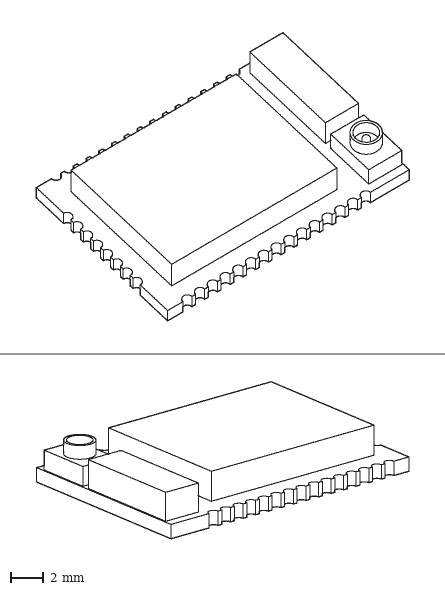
import cadquery as cq

BOARD_WIDTH = 13.06
BOARD_LENGTH = 18.95
BOARD_THICKNESS = 0.95
TOTAL_HEIGHT = 3.15
LEFT_EDGE = -BOARD_WIDTH / 2
RIGHT_EDGE = BOARD_WIDTH / 2
FRONT_EDGE = -BOARD_LENGTH / 2
BACK_EDGE = BOARD_LENGTH / 2

NOTCH_RADIUS = 0.35
SIDE_NOTCH_COUNT = 15
SIDE_NOTCH_PITCH = 1.0
FIRST_SIDE_NOTCH_FROM_BACK = 3.4
FRONT_NOTCH_COUNT = 8
FRONT_NOTCH_PITCH = 0.985

SHIELD_WIDTH = 10.0
SHIELD_LENGTH = 12.95
SHIELD_HEIGHT = 1.97
SHIELD_FROM_BACK = 4.53
SHIELD_FROM_LEFT = 1.6

BACK_ROW_LENGTH = 2.6
BACK_ROW_FROM_BACK = 0.1
ANTENNA_WIDTH = 7.52
ANTENNA_HEIGHT = 1.9
ANTENNA_FROM_LEFT = 0.63
CONNECTOR_WIDTH = 3.78
CONNECTOR_HEIGHT = 1.3
CONNECTOR_FROM_LEFT = 8.67

RING_OUTER_RADIUS = 1.0
RING_INNER_RADIUS = 0.82
RING_HEIGHT = TOTAL_HEIGHT - BOARD_THICKNESS - CONNECTOR_HEIGHT
PIN_RADIUS = 0.27
PIN_SHANK_HEIGHT = 0.3


def make_board():
    """Plain board with half-round notches on its left, right and front edges."""
    board = cq.Workplane("XY").rect(BOARD_WIDTH, BOARD_LENGTH).extrude(BOARD_THICKNESS)

    centres = []
    for i in range(SIDE_NOTCH_COUNT):
        y = BACK_EDGE - FIRST_SIDE_NOTCH_FROM_BACK - i * SIDE_NOTCH_PITCH
        centres.append((LEFT_EDGE, y))
        centres.append((RIGHT_EDGE, y))
    for i in range(FRONT_NOTCH_COUNT):
        x = (i - (FRONT_NOTCH_COUNT - 1) / 2) * FRONT_NOTCH_PITCH
        centres.append((x, FRONT_EDGE))

    notches = cq.Workplane("XY").pushPoints(centres).circle(NOTCH_RADIUS).extrude(BOARD_THICKNESS)
    return board.cut(notches)


def make_block(left, back, width, length, height):
    """Box standing on the board, placed by its left and back faces."""
    return (
        cq.Workplane("XY", origin=(left, back, BOARD_THICKNESS))
        .rect(width, -length, centered=False)
        .extrude(height)
    )


def make_socket(x, y):
    """Ring and round-ended pin standing on the connector base."""
    base_top = BOARD_THICKNESS + CONNECTOR_HEIGHT
    plane = cq.Workplane("XY", origin=(x, y, base_top))
    ring = plane.circle(RING_OUTER_RADIUS).circle(RING_INNER_RADIUS).extrude(RING_HEIGHT)
    shank = plane.circle(PIN_RADIUS).extrude(PIN_SHANK_HEIGHT)
    tip = plane.workplane(offset=PIN_SHANK_HEIGHT).sphere(PIN_RADIUS)
    return ring.union(shank.union(tip))


shield = make_block(
    LEFT_EDGE + SHIELD_FROM_LEFT, BACK_EDGE - SHIELD_FROM_BACK, SHIELD_WIDTH, SHIELD_LENGTH, SHIELD_HEIGHT
)

back_row_back = BACK_EDGE - BACK_ROW_FROM_BACK
antenna = make_block(
    LEFT_EDGE + ANTENNA_FROM_LEFT, back_row_back, ANTENNA_WIDTH, BACK_ROW_LENGTH, ANTENNA_HEIGHT
)

connector_left = LEFT_EDGE + CONNECTOR_FROM_LEFT
connector = make_block(
    connector_left, back_row_back, CONNECTOR_WIDTH, BACK_ROW_LENGTH, CONNECTOR_HEIGHT
)
socket = make_socket(connector_left + CONNECTOR_WIDTH / 2, back_row_back - BACK_ROW_LENGTH / 2)

result = make_board().union(shield).union(antenna).union(connector).union(socket)